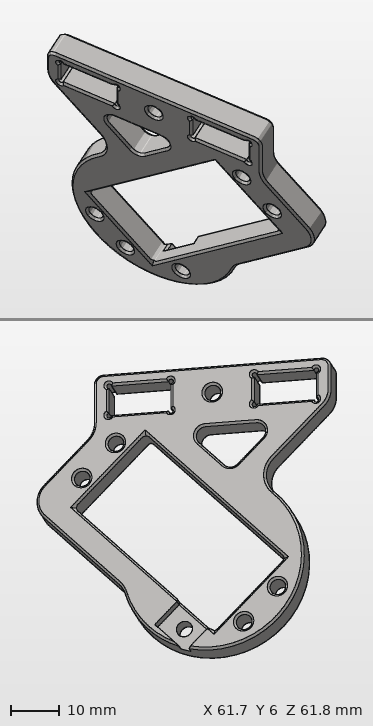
import cadquery as cq
import math

thickness = 6.0
height = 61.75
edge_chamfer = 0.5
chamfer_angle = 45

lobe_radius = 19.2
head_top = height - lobe_radius
head_half_width = 24.8
head_corner_radius = 2.0
blend_radius = 5.0

arm_angle = 45
head_diagonal_offset = 6.2
arm_end_offset = 38.85
arm_side_offset = 16.25

servo_centre_offset = 9.7
servo_length = 41.55
servo_width = 21.1
servo_corner_radius = 1.0
servo_screw_half_spacing = 24.0
servo_screw_half_gauge = 5.0
servo_screw_diameter = 3.3

relief_length = 10.0
relief_depth = 2.55
relief_width = 7.05

window_length = 12.95
window_height = 6.4
window_half_spacing = 15.25
head_row_z = 36.8
window_relief_radius = 0.5
plate_screw_diameter = 3.35
lobe_screw = (6.3, -13.6)

triangle_top = 29.6
triangle_apex = (-3.8, 19.5)
triangle_corner_radius = 2.0


def on_arm(along, across):
    """Point given by distance up the arm axis and distance to its lower right."""
    angle = math.radians(arm_angle)
    return (
        along * math.cos(angle) + across * math.sin(angle),
        along * math.sin(angle) - across * math.cos(angle),
    )


def on_diagonal(offset, x):
    """Point at x on the line that crosses the arm square, at an offset up the arm axis."""
    angle = math.radians(arm_angle)
    return (x, (offset - x * math.cos(angle)) / math.sin(angle))


def front_plane():
    """Sketch plane on the front face, drawn in X and Z; negative extrusions go into the plate."""
    return cq.Workplane("XZ")


def extrude_polygon(points):
    """Prism through the plate from X, Z points."""
    return front_plane().polyline(points).close().extrude(-thickness)


def fillet_corner(body, point, radius):
    """Round the edge that runs along Y through the given X, Z point."""
    edge_middle = (point[0], thickness / 2, point[1])
    return body.edges(cq.selectors.NearestToPointSelector(edge_middle)).fillet(radius)


def make_blank():
    """Head, arm and lobe with every outline corner rounded and both rims chamfered."""
    head_top_left = (-head_half_width, head_top)
    head_top_right = (head_half_width, head_top)
    head_right_foot = on_diagonal(arm_end_offset, head_half_width)
    head_left_foot = on_diagonal(head_diagonal_offset, -head_half_width)
    arm_tip = on_arm(arm_end_offset, arm_side_offset)
    lobe_centre = (0, 0)
    arm_foot = on_arm(0, arm_side_offset)
    neck = on_arm(head_diagonal_offset, -math.sqrt(lobe_radius**2 - head_diagonal_offset**2))
    arm_meets_lobe = on_arm(math.sqrt(lobe_radius**2 - arm_side_offset**2), arm_side_offset)

    body = extrude_polygon(
        [
            head_top_left,
            head_top_right,
            head_right_foot,
            arm_tip,
            arm_foot,
            lobe_centre,
            neck,
            head_left_foot,
        ]
    )
    body = body.union(front_plane().circle(lobe_radius).extrude(-thickness))
    for corner in (head_top_left, head_top_right):
        body = fillet_corner(body, corner, head_corner_radius)
    for corner in (head_right_foot, head_left_foot, neck, arm_tip, arm_meets_lobe):
        body = fillet_corner(body, corner, blend_radius)
    return body.faces("<Y or >Y").chamfer(edge_chamfer)


def with_rims(prism, rim):
    """Join a prism cutter with its front rim flare and the same flare at the back face."""
    return prism.union(rim).union(rim.mirror("XZ", (0, thickness / 2, 0)))


def round_cutter(centre, diameter):
    """Through hole with both rims chamfered."""
    sketch = front_plane().center(*centre)
    hole = sketch.circle(diameter / 2).extrude(-thickness)
    rim = sketch.circle(diameter / 2 + edge_chamfer).extrude(-edge_chamfer, taper=chamfer_angle)
    return with_rims(hole, rim)


def window_cutter(centre_x):
    """Rectangular opening with round reliefs on its corners and chamfered rims."""
    corners = [
        (side_x * window_length / 2, side_z * window_height / 2)
        for side_x in (-1, 1)
        for side_z in (-1, 1)
    ]
    sketch = front_plane().center(centre_x, head_row_z)
    cutter = sketch.rect(window_length, window_height).extrude(-thickness)
    rim = sketch.rect(window_length + 2 * edge_chamfer, window_height + 2 * edge_chamfer)
    cutter = with_rims(cutter, rim.extrude(-edge_chamfer, taper=chamfer_angle))
    for corner_x, corner_z in corners:
        centre = (centre_x + corner_x, head_row_z + corner_z)
        cutter = cutter.union(round_cutter(centre, 2 * window_relief_radius))
    return cutter


def triangle_cutter():
    """Rounded right-angled triangle, point down, with chamfered rims."""
    apex_x, apex_z = triangle_apex
    drop = triangle_top - apex_z
    prism = extrude_polygon(
        [(apex_x - drop, triangle_top), (apex_x + drop, triangle_top), triangle_apex]
    )
    prism = prism.edges("|Y").fillet(triangle_corner_radius)
    outline = prism.faces("<Y").wires().val()
    rim = front_plane().add(outline.offset2D(edge_chamfer)[0]).toPending()
    return with_rims(prism, rim.extrude(-edge_chamfer, taper=chamfer_angle))


def relief_cutter():
    """Pocket open to the back and to the lower long wall, with a chamfered mouth in that wall."""
    wall = -servo_width / 2
    start = -servo_length / 2 + servo_corner_radius
    floor = thickness - relief_depth
    mouth = (
        cq.Workplane("XY", origin=(start, floor, wall))
        .rect(relief_length, 2 * relief_depth, centered=False)
        .extrude(-edge_chamfer, taper=chamfer_angle)
    )
    pocket = (
        cq.Workplane("XY", origin=(start + edge_chamfer, floor + edge_chamfer, wall))
        .rect(relief_length - 2 * edge_chamfer, relief_depth, centered=False)
        .extrude(-relief_width)
    )
    return pocket.union(mouth)


def servo_cutter():
    """Servo opening, its flared rims and the relief pocket, turned onto the arm axis."""
    sketch = front_plane()
    opening = sketch.rect(servo_length, servo_width).extrude(-thickness)
    opening = opening.edges("|Y").fillet(servo_corner_radius)
    flare_depth = edge_chamfer + servo_corner_radius
    flare = sketch.rect(servo_length + 2 * edge_chamfer, servo_width + 2 * edge_chamfer)
    opening = with_rims(opening, flare.extrude(-flare_depth, taper=chamfer_angle))
    turned = opening.union(relief_cutter()).rotate((0, 0, 0), (0, 1, 0), -arm_angle)
    centre_x, centre_z = on_arm(servo_centre_offset, 0)
    return turned.translate((centre_x, 0, centre_z))


result = make_blank().cut(servo_cutter()).cut(triangle_cutter())
for side in (-1, 1):
    result = result.cut(window_cutter(side * window_half_spacing))
for end in (-1, 1):
    for side in (-1, 1):
        along = servo_centre_offset + end * servo_screw_half_spacing
        screw = on_arm(along, side * servo_screw_half_gauge)
        result = result.cut(round_cutter(screw, servo_screw_diameter))
for screw in ((0, head_row_z), lobe_screw):
    result = result.cut(round_cutter(screw, plate_screw_diameter))